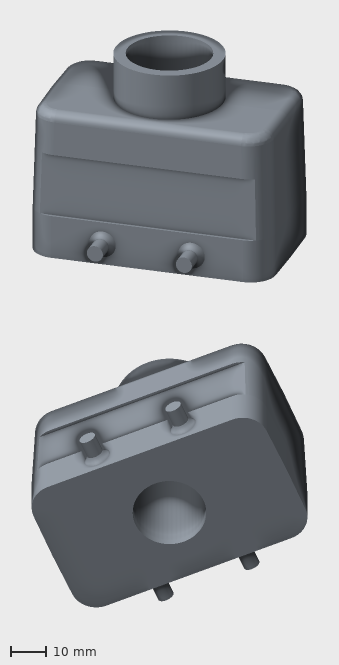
import cadquery as cq
import math

length = 72.6
depth = 42.8
total_height = 58.5
pin_span = 57.2

base_height = 13.0
ridge_height = 44.95
eave_height = 44.7
draft_angle = 1.5
end_peak = 0.3
corner_radius = 7.5
rim_radius = 3.0

recess_top = 31.8
recess_depth = 0.95

entry_diameter = 32.0
bore_diameter = 25.0
passage_diameter = 21.0

pin_diameter = 4.8
flare_diameter = 7.9
flare_length = 1.75
flare_arc_radius = 4.0
pin_spacing = 26.6
pin_height = 6.25


def make_prism(bottom, top, draft=0.0):
    """Block with shallow points at the middle of its short ends and rounded corners."""
    peak_x = length / 2
    corner_x = peak_x - end_peak
    corner_y = depth / 2
    corners = [
        (peak_x, 0),
        (corner_x, corner_y),
        (-corner_x, corner_y),
        (-peak_x, 0),
        (-corner_x, -corner_y),
        (corner_x, -corner_y),
    ]
    block = (
        cq.Workplane("XY", origin=(0, 0, bottom))
        .polyline(corners)
        .close()
        .extrude(top - bottom, taper=draft)
    )
    upright_corners = block.edges("not #Z").edges(">Y or <Y")
    return upright_corners.fillet(corner_radius)


def make_upper_half():
    """+Y half of the drafted body, its roof falling away from the ridge to a rounded rim."""
    body = make_prism(base_height, ridge_height, draft_angle)
    roof_section = [
        (0, 0),
        (0, ridge_height),
        (depth / 2, eave_height),
        (depth / 2, 0),
    ]
    below_roof = (
        cq.Workplane("YZ").polyline(roof_section).close().extrude(length / 2, both=True)
    )
    body = body.intersect(below_roof)
    ridge = cq.selectors.StringSyntaxSelector(">Z")
    roof_outline = body.faces(">Z").edges()
    rim = roof_outline.edges(cq.selectors.InverseSelector(ridge))
    return rim.fillet(rim_radius)


def make_recess():
    """Cutter for the +Y side band; its floor runs parallel to the drafted side."""
    floor_bottom = depth / 2 - recess_depth
    floor_lean = (recess_top - base_height) * math.tan(math.radians(draft_angle))
    section = [
        (floor_bottom, base_height),
        (depth, base_height),
        (depth, recess_top),
        (floor_bottom - floor_lean, recess_top),
    ]
    return cq.Workplane("YZ").polyline(section).close().extrude(length / 2, both=True)


def make_pin(x):
    """Pin pointing to +Y, turned about its axis, with a concave flare at the root."""
    radius = pin_diameter / 2
    root_y = depth / 2
    flare_radius = flare_diameter / 2
    embedded_y = root_y - recess_depth
    profile = (
        cq.Workplane("XY")
        .moveTo(0, embedded_y)
        .lineTo(flare_radius, embedded_y)
        .lineTo(flare_radius, root_y)
        .radiusArc((radius, root_y + flare_length), flare_arc_radius)
        .lineTo(radius, pin_span / 2)
        .lineTo(0, pin_span / 2)
        .close()
    )
    pin = profile.revolve(360, (0, 0, 0), (0, 1, 0))
    return pin.translate((x, 0, pin_height))


def cylinder(diameter, bottom, top):
    """Upright cylinder on the Z axis."""
    return cq.Workplane("XY", origin=(0, 0, bottom)).circle(diameter / 2).extrude(top - bottom)


upper_half = make_upper_half().cut(make_recess())
upper_body = upper_half.union(upper_half.mirror("XZ"))
hood = make_prism(0, base_height).union(upper_body)

for pin_x in (-pin_spacing / 2, pin_spacing / 2):
    pin = make_pin(pin_x)
    hood = hood.union(pin).union(pin.mirror("XZ"))

hood = hood.union(cylinder(entry_diameter, base_height, total_height))
hood = hood.cut(cylinder(bore_diameter, ridge_height, total_height))
result = hood.cut(cylinder(passage_diameter, 0, total_height))